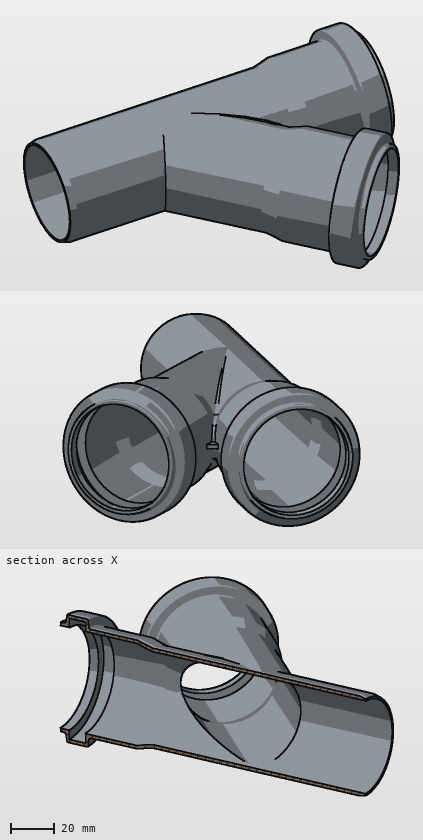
import cadquery as cq
import math

PIPE_OD = 50.2
PIPE_ID = 46.2
SOCKET_OD = 54.6
SOCKET_ID = 50.8
COLLAR_OD = 64.1
GROOVE_DIA = 60.3
LIP_OD = 54.9
LIP_ID = 51.1

BRANCH_ANGLE = 45.0
SPIGOT_LENGTH = 59.35
ARM_LENGTH = 107.15

BEVEL_LENGTH = 3.5
BEVEL_ANGLE = 15.0

MOUTH_ROUND = 0.5
COLLAR_FRONT_RIM = 3.55
COLLAR_BACK_RIM = 15.1
SHOULDER_RISE = 0.7
COLLAR_ROUND = 1.0
SOCKET_STEP = 41.9
PIPE_STEP = 50.2

GROOVE_FRONT = 5.0
GROOVE_BACK = 13.6

CROTCH_ROUND = 1.0
WEB_REACH = 77.8
WEB_THICKNESS = 2.0
WEB_ROOT = 68.0
WEB_OVERLAP = 1.0

COLLAR_FRONT_ROOT = COLLAR_FRONT_RIM - SHOULDER_RISE
COLLAR_BACK_ROOT = COLLAR_BACK_RIM + SHOULDER_RISE
HALF_ANGLE = BRANCH_ANGLE / 2

MATCH_TOLERANCE = 0.01


def revolve_profile(stations):
    """Solid of revolution about Y from (diameter, y) stations."""
    outline = [(dia / 2, y) for dia, y in stations]
    outline = [(0, stations[0][1])] + outline + [(0, stations[-1][1])]
    return cq.Workplane("XY").polyline(outline).close().revolve(360, (0, 0), (0, 1))


def round_rings(body, rings, radius):
    """Round the circular edges with the given (diameter, y) about Y."""
    picked = []
    for edge in body.edges("%CIRCLE").vals():
        for dia, y in rings:
            same_radius = abs(edge.radius() - dia / 2) < MATCH_TOLERANCE
            same_station = abs(edge.Center().y - y) < MATCH_TOLERANCE
            if same_radius and same_station:
                picked.append(edge)
    return body.newObject(picked).fillet(radius)


def arm_outside():
    """Outer shape of a socketed arm along +Y, beginning where the axes cross."""
    mouth = ARM_LENGTH
    front_root = (LIP_OD, mouth - COLLAR_FRONT_ROOT)
    front_rim = (COLLAR_OD, mouth - COLLAR_FRONT_RIM)
    back_rim = (COLLAR_OD, mouth - COLLAR_BACK_RIM)
    back_root = (SOCKET_OD, mouth - COLLAR_BACK_ROOT)
    lip_edge = (LIP_OD, mouth)
    body = revolve_profile([
        (PIPE_OD, 0),
        (PIPE_OD, mouth - PIPE_STEP),
        (SOCKET_OD, mouth - SOCKET_STEP),
        back_root,
        back_rim,
        front_rim,
        front_root,
        lip_edge,
    ])
    body = round_rings(body, [front_root, front_rim, back_rim, back_root], COLLAR_ROUND)
    return round_rings(body, [lip_edge], MOUTH_ROUND)


def arm_bore(start):
    """Bore along +Y with the seal groove, beginning at y = start."""
    mouth = ARM_LENGTH
    return revolve_profile([
        (PIPE_ID, start),
        (PIPE_ID, mouth - PIPE_STEP),
        (SOCKET_ID, mouth - SOCKET_STEP),
        (SOCKET_ID, mouth - GROOVE_BACK),
        (GROOVE_DIA, mouth - GROOVE_BACK),
        (GROOVE_DIA, mouth - GROOVE_FRONT),
        (LIP_ID, mouth - GROOVE_FRONT),
        (LIP_ID, mouth),
    ])


def to_branch(body):
    """Swing a body lying along +Y onto the branch axis."""
    return body.rotate((0, 0, 0), (0, 0, 1), -BRANCH_ANGLE)


def spigot_outside():
    """Outer shape of the plain spigot with its bevelled end."""
    tip_dia = PIPE_OD - 2 * BEVEL_LENGTH * math.tan(math.radians(BEVEL_ANGLE))
    return revolve_profile([
        (tip_dia, -SPIGOT_LENGTH),
        (PIPE_OD, BEVEL_LENGTH - SPIGOT_LENGTH),
        (PIPE_OD, 0),
    ])


def round_crotch(body):
    """Round the valley where the two arms meet, along the bisecting plane."""
    half = math.radians(HALF_ANGLE)
    along = cq.Vector(math.sin(half), math.cos(half), 0)
    across = cq.Vector(math.cos(half), -math.sin(half), 0)
    samples = (0.1, 0.5, 0.9)
    valley = []
    for edge in body.edges().vals():
        points = [edge.positionAt(t) for t in samples]
        on_plane = all(abs(p.dot(across)) < MATCH_TOLERANCE for p in points)
        if on_plane and points[1].dot(along) > 0:
            valley.append(edge)
    return body.newObject(valley).fillet(CROTCH_ROUND)


def crotch_web():
    """Flat web closing the narrow gap between the two sockets."""
    gap = WEB_REACH * math.sin(math.radians(HALF_ANGLE)) - SOCKET_OD / 2
    width = 2 * (gap / math.cos(math.radians(HALF_ANGLE)) + WEB_OVERLAP)
    web = cq.Workplane("XY").box(width, WEB_REACH - WEB_ROOT, WEB_THICKNESS)
    web = web.translate((0, (WEB_REACH + WEB_ROOT) / 2, 0))
    return web.rotate((0, 0, 0), (0, 0, 1), -HALF_ANGLE)


main_arm = arm_outside().union(spigot_outside())
branch_arm = to_branch(arm_outside())
outside = round_crotch(main_arm.union(branch_arm)).union(crotch_web())

main_bore = arm_bore(-SPIGOT_LENGTH)
branch_bore = to_branch(arm_bore(0))
result = outside.cut(main_bore).cut(branch_bore)